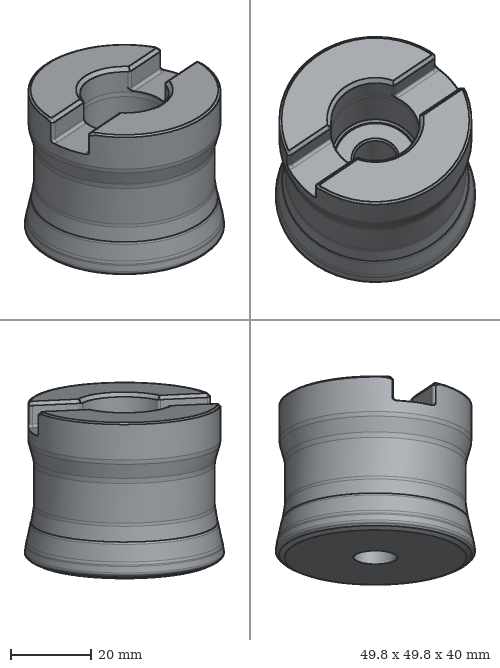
import cadquery as cq
import math

total_height = 40.0
split_z = 9.45
bore_floor_z = 19.95

rim_radius = 48.0 / 2
rim_chamfer_width = 0.6
rim_chamfer_height = 0.4
rim_bottom_z = 30.05
rim_rounding = 4.25
waist_radius = 45.15 / 2
waist_top_z = 25.0
waist_bottom_z = 13.8
waist_rounding = 5.0
split_radius = 23.3

bore_radius = 22.05 / 2
bore_relief_radius = 22.2 / 2
bore_relief_depth = 6.7
bore_relief_taper = 1.25
bore_mouth_chamfer = 1.0
bore_floor_chamfer = 0.6
floor_rim_width = 0.2
floor_rim_rise = 0.1
hole_radius = 11.0 / 2
hole_chamfer = 0.5

slot_width = 10.55
slot_depth = 6.35
slot_bottom_fillet = 0.8
slot_end_y = 23.3
slot_corner_radius = 0.95
slot_chamfer = 0.9
slot_reach = 29.9

ring_chamfer_radius = 23.45
ring_chamfer_z = 8.95
band_top_radius = 24.35
band_top_z = 4.7
band_bottom_radius = 24.55
band_bottom_z = 3.95
flare_radius = 24.6
flare_z = 3.6
max_radius = 24.9
max_radius_z = 1.8
edge_top_radius = 24.85
edge_top_z = 2.0
edge_bottom_radius = 24.6
edge_bottom_z = 1.25
bevel_radius = 24.05
bevel_z = 0.7
bottom_radius = 22.7


def revolved(outline):
    """Solid of revolution about Z from an outline drawn as (radius, height)."""
    return outline.close().revolve(360, (0, 0, 0), (0, 1, 0))


def circle_edge(body, radius, height):
    """The edge of a turned body at a given radius and height."""
    reach = 0.025
    low = (-radius - reach, -radius - reach, height - reach)
    high = (radius + reach, radius + reach, height + reach)
    return body.edges(cq.selectors.BoxSelector(low, high, boundingbox=True))


def make_head_blank():
    blank = revolved(cq.Workplane("XZ").polyline([
        (0, split_z),
        (split_radius, split_z),
        (waist_radius, waist_bottom_z),
        (waist_radius, waist_top_z),
        (rim_radius, rim_bottom_z),
        (rim_radius, total_height - rim_chamfer_height),
        (rim_radius - rim_chamfer_width, total_height),
        (0, total_height),
    ]))
    for waist_z in (waist_bottom_z, waist_top_z):
        blank = circle_edge(blank, waist_radius, waist_z).fillet(waist_rounding)
    return circle_edge(blank, rim_radius, rim_bottom_z).fillet(rim_rounding)


def make_bore():
    """Cutter for the stepped bore and the upper part of the through hole."""
    relief_z = total_height - bore_relief_depth
    floor_rim_radius = bore_radius - bore_floor_chamfer
    floor_rim_z = bore_floor_z + floor_rim_rise
    return revolved(cq.Workplane("XZ").polyline([
        (0, split_z),
        (hole_radius, split_z),
        (hole_radius, bore_floor_z - hole_chamfer),
        (hole_radius + hole_chamfer, bore_floor_z),
        (floor_rim_radius - floor_rim_width, bore_floor_z),
        (floor_rim_radius, floor_rim_z),
        (bore_radius, floor_rim_z + bore_floor_chamfer),
        (bore_radius, relief_z - bore_relief_taper),
        (bore_relief_radius, relief_z),
        (bore_relief_radius, total_height - bore_mouth_chamfer),
        (bore_relief_radius + bore_mouth_chamfer, total_height),
        (0, total_height),
    ]))


def slot_outline(z, grow):
    """Outline of the slot and bore mouth at height z, widened all round by `grow`.

    Rounded corners lead from the slot walls into the bore and into the open ends.
    One quarter is drawn, then mirrored.
    """
    wall_x = slot_width / 2 + grow
    mouth_radius = bore_relief_radius + grow
    corner_radius = slot_corner_radius - grow
    end_y = slot_end_y - grow

    corner_x = wall_x + corner_radius
    end_corner_y = end_y - corner_radius
    half_turn = corner_radius * math.sqrt(0.5)

    centre_distance = mouth_radius + corner_radius
    bore_corner_y = math.sqrt(centre_distance ** 2 - corner_x ** 2)
    bore_direction = math.atan2(bore_corner_y, corner_x)
    tangent_x = mouth_radius * math.cos(bore_direction)
    tangent_y = mouth_radius * math.sin(bore_direction)
    middle_x = corner_x - corner_radius * math.cos(bore_direction / 2)
    middle_y = bore_corner_y - corner_radius * math.sin(bore_direction / 2)

    arc_x = mouth_radius * math.cos(bore_direction / 2)
    arc_y = mouth_radius * math.sin(bore_direction / 2)
    return (
        cq.Workplane("XY", origin=(0, 0, z))
        .moveTo(0, slot_reach)
        .lineTo(slot_reach, slot_reach)
        .lineTo(slot_reach, end_y)
        .lineTo(corner_x, end_y)
        .threePointArc((corner_x - half_turn, end_corner_y + half_turn), (wall_x, end_corner_y))
        .lineTo(wall_x, bore_corner_y)
        .threePointArc((middle_x, middle_y), (tangent_x, tangent_y))
        .threePointArc((arc_x, arc_y), (mouth_radius, 0))
        .mirrorX()
        .mirrorY()
    )


def make_slot():
    floor_z = total_height - slot_depth
    return slot_outline(floor_z, 0).extrude(slot_depth).faces("<Z").edges().fillet(slot_bottom_fillet)


def make_slot_chamfer():
    """Cutter for the chamfer along the slot walls and their corners."""
    lower = slot_outline(total_height - slot_chamfer, 0).wires().val()
    upper = slot_outline(total_height, slot_chamfer).wires().val()
    return cq.Workplane(cq.Solid.makeLoft([lower, upper], True))


def make_head():
    return make_head_blank().cut(make_slot()).cut(make_slot_chamfer()).cut(make_bore())


def make_base_ring():
    return revolved(
        cq.Workplane("XZ")
        .moveTo(hole_radius, split_z)
        .lineTo(split_radius, split_z)
        .lineTo(ring_chamfer_radius, ring_chamfer_z)
        .lineTo(band_top_radius, band_top_z)
        .lineTo(band_bottom_radius, band_bottom_z)
        .lineTo(flare_radius, flare_z)
        .lineTo(edge_top_radius, edge_top_z)
        .threePointArc((max_radius, max_radius_z), (edge_bottom_radius, edge_bottom_z))
        .lineTo(bevel_radius, bevel_z)
        .lineTo(bottom_radius, 0)
        .lineTo(hole_radius, 0)
    )


head = make_head()
base_ring = make_base_ring()
result = cq.Compound.makeCompound([head.val(), base_ring.val()])